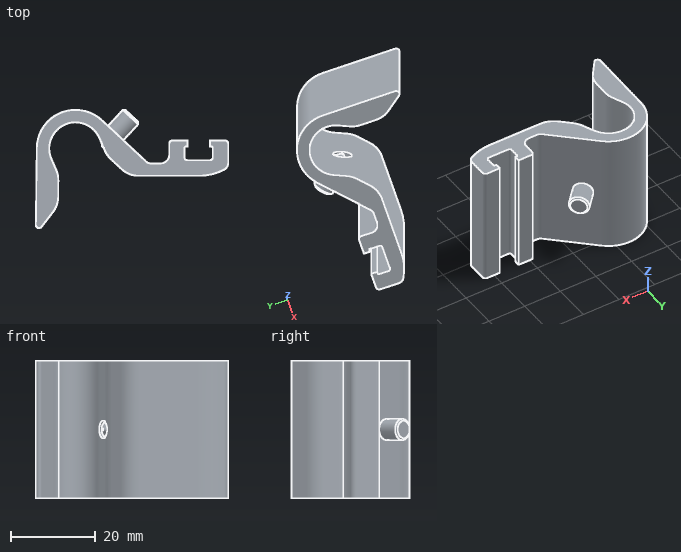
import math

import cadquery as cq

length = 32.5
overall_width = 45.42
overall_depth = 27.95
hook_inner_radius = 6.15
wall = 3.0
hook_outer_radius = hook_inner_radius + wall
bend_radius = 6.0

leg_left = -9.37
leg_bottom = hook_outer_radius - overall_depth
leg_tip_radius = 0.78
leg_thickness = 5.25
leg_tip_slope = 52.5
throat_slope = 66.5

arm_slope = 43.0
arm_thickness = 5.3
arm_corner_radius = 1.5
web_bottom = -6.48
web_top = web_bottom + wall

rail_width = 13.95
rail_height = 8.42
rail_right = leg_left + overall_width
rail_left = rail_right - rail_width
rail_center = (rail_left + rail_right) / 2
rail_top = web_bottom + rail_height
rail_corner_radius = 0.8
rail_root_radius = 2.0
rail_belly_radius = 13.0
rail_belly_corner_radius = 1.75
slot_opening = 5.25
slot_width = 6.6
slot_lip = 1.5
slot_depth = 4.65
slot_corner_radius = 0.5
slot_lip_radius = 0.25

screw_diameter = 5.0
screw_bore = 4.13
screw_stub = 5.55
screw_chamfer = (screw_diameter - screw_bore) / 2
screw_offset = 4.45
screw_reach = 4.5
point_flat_radius = 0.25


def polar(radius, angle):
    """Point at a radius and an angle in degrees about the hook centre."""
    turn = math.radians(angle)
    return radius * math.cos(turn), radius * math.sin(turn)


def shifted(point, distance, angle):
    """Point moved a distance in the direction of an angle in degrees."""
    step_x, step_y = polar(distance, angle)
    return point[0] + step_x, point[1] + step_y


def crossing(point_a, angle_a, point_b, angle_b):
    """Intersection of two lines, each given by a point and an angle in degrees."""
    ax, ay = polar(1, angle_a)
    bx, by = polar(1, angle_b)
    gap_x = point_b[0] - point_a[0]
    gap_y = point_b[1] - point_a[1]
    along = (gap_x * by - gap_y * bx) / (ax * by - ay * bx)
    return point_a[0] + along * ax, point_a[1] + along * ay


tip_center = (leg_left + leg_tip_radius, leg_bottom + leg_tip_radius)
center_distance = math.hypot(*tip_center)
leg_angle = math.degrees(
    math.atan2(tip_center[1], tip_center[0])
    + math.asin((hook_outer_radius - leg_tip_radius) / center_distance)
)
leg_normal = leg_angle - 90
leg_outer_start = polar(hook_outer_radius, leg_normal)
leg_outer_end = shifted(tip_center, leg_tip_radius, leg_normal)

arm_normal = 90 - arm_slope
arm_outer_start = polar(hook_outer_radius, arm_normal)
screw_base = shifted(arm_outer_start, screw_offset, -arm_slope)


def rounded_corner(sketch, before, corner, after, radius):
    """Line to a corner that is rounded with a tangent arc."""
    in_angle = math.atan2(before[1] - corner[1], before[0] - corner[0])
    out_angle = math.atan2(after[1] - corner[1], after[0] - corner[0])
    half = math.acos(math.cos(in_angle - out_angle)) / 2
    setback = radius / math.tan(half)
    start = shifted(corner, setback, math.degrees(in_angle))
    end = shifted(corner, setback, math.degrees(out_angle))
    bisector = math.atan2(
        math.sin(in_angle) + math.sin(out_angle),
        math.cos(in_angle) + math.cos(out_angle),
    )
    middle = shifted(corner, radius / math.sin(half) - radius, math.degrees(bisector))
    return sketch.lineTo(*start).threePointArc(middle, end)


def rounded_path(sketch, start, corners, finish):
    """Chain of straight runs from start to finish through rounded (point, radius) corners."""
    points = [start] + [point for point, _ in corners] + [finish]
    for index, (corner, radius) in enumerate(corners):
        sketch = rounded_corner(sketch, points[index], corner, points[index + 2], radius)
    return sketch.lineTo(*finish)


def make_body():
    arm_foot = crossing(arm_outer_start, -arm_slope, (0, web_top), 0)
    upper_corners = [
        (arm_foot, arm_corner_radius),
        ((rail_left, web_top), rail_root_radius),
        ((rail_left, rail_top), rail_corner_radius),
        ((rail_right, rail_top), rail_corner_radius),
    ]

    belly_center = (rail_center, web_bottom + rail_belly_radius)
    blend_x = rail_right - rail_belly_corner_radius
    blend_distance = rail_belly_radius - rail_belly_corner_radius
    belly_angle = -math.degrees(math.acos((blend_x - rail_center) / blend_distance))
    blend_center = shifted(belly_center, blend_distance, belly_angle)
    belly_end = shifted(belly_center, rail_belly_radius, belly_angle)
    belly_middle = shifted(belly_center, rail_belly_radius, (belly_angle - 90) / 2)
    blend_start = shifted(blend_center, rail_belly_corner_radius, 0)
    blend_middle = shifted(blend_center, rail_belly_corner_radius, belly_angle / 2)

    throat_normal = 90 - throat_slope
    arm_throat = polar(hook_inner_radius, throat_normal)
    leg_throat = polar(hook_inner_radius, 180 + throat_normal)
    arm_inner = shifted(arm_outer_start, -arm_thickness, arm_normal)
    arm_heel = crossing(arm_inner, -arm_slope, (0, web_bottom), 0)
    arm_knee = crossing(arm_inner, -arm_slope, arm_throat, -throat_slope)
    leg_inner = shifted(leg_outer_start, -leg_thickness, leg_normal)
    leg_knee = crossing(leg_inner, leg_angle, leg_throat, -throat_slope)
    tip_end = shifted(tip_center, leg_tip_radius, leg_tip_slope - 90)
    leg_heel = crossing(leg_inner, leg_angle, tip_end, leg_tip_slope)

    outline = cq.Workplane("XY").moveTo(*arm_outer_start)
    outline = rounded_path(outline, arm_outer_start, upper_corners, blend_start)
    outline = outline.threePointArc(blend_middle, belly_end)
    outline = outline.threePointArc(belly_middle, (rail_center, web_bottom))
    arm_corners = [(arm_heel, bend_radius), (arm_knee, bend_radius)]
    outline = rounded_path(outline, (rail_center, web_bottom), arm_corners, arm_throat)
    outline = outline.threePointArc((0, hook_inner_radius), leg_throat)
    leg_corners = [(leg_knee, bend_radius), (leg_heel, bend_radius)]
    outline = rounded_path(outline, leg_throat, leg_corners, tip_end)
    outline = outline.threePointArc((tip_center[0], leg_bottom), leg_outer_end)
    outline = outline.lineTo(*leg_outer_start)
    outline = outline.threePointArc((0, hook_outer_radius), arm_outer_start)
    return outline.close().extrude(length)


def make_slot():
    cavity_height = slot_depth - slot_lip
    cavity = (
        cq.Workplane("XY")
        .center(rail_center, rail_top - slot_lip - cavity_height / 2)
        .rect(slot_width, cavity_height)
        .extrude(length)
    )
    cavity = cavity.edges("|Z and <Y").fillet(slot_corner_radius)
    cavity = cavity.edges("|Z and >Y").fillet(slot_lip_radius)
    opening = (
        cq.Workplane("XY")
        .center(rail_center, rail_top - slot_depth / 2)
        .rect(slot_opening, slot_depth)
        .extrude(length)
    )
    return cavity.union(opening)


def screw_plane():
    """Plane on the arm's outer face at mid length, facing away from the arm."""
    axis_x, axis_y = polar(1, arm_normal)
    return cq.Plane(
        origin=(*screw_base, length / 2), xDir=(0, 0, 1), normal=(axis_x, axis_y, 0)
    )


def make_bore():
    """Bore that opens the arm's inner face in front of the screw's point."""
    bore_depth = screw_reach + screw_diameter / 2
    return cq.Workplane(screw_plane()).circle(screw_bore / 2).extrude(-bore_depth)


def make_screw():
    """Plain stub with a chamfered end outside and a 90 degree cone point inside."""
    bore_radius = screw_bore / 2
    point_base = screw_reach - (bore_radius - point_flat_radius)
    half_section = [
        (0, -screw_reach),
        (point_flat_radius, -screw_reach),
        (bore_radius, -point_base),
        (bore_radius, 0),
        (screw_diameter / 2, 0),
        (screw_diameter / 2, screw_stub - screw_chamfer),
        (bore_radius, screw_stub),
        (0, screw_stub),
    ]
    section = cq.Workplane(screw_plane()).transformed(rotate=(90, 0, 0)).polyline(half_section)
    return section.close().revolve(360, (0, 0), (0, 1))


result = make_body().cut(make_slot()).cut(make_bore()).union(make_screw())